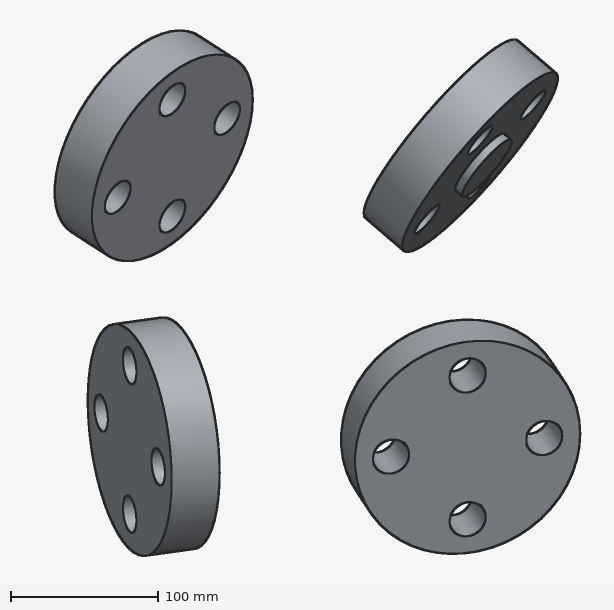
import cadquery as cq

flange_diameter = 158.75
overall_length = 41.275
face_diameter = 50.8
face_height = 6.35
flange_thickness = overall_length - face_height

bolt_hole_count = 4
bolt_hole_diameter = 25.4
bolt_circle_diameter = 107.95


def make_flange():
    """Plain disc from the X = 0 plane towards +X."""
    return cq.Workplane("YZ").circle(flange_diameter / 2).extrude(flange_thickness)


def make_raised_face():
    """Central disc standing out from the flange towards -X."""
    return cq.Workplane("YZ").circle(face_diameter / 2).extrude(-face_height)


def make_bolt_holes():
    """Cylinders through the flange, evenly spaced on the bolt circle."""
    return (
        cq.Workplane("YZ")
        .polarArray(bolt_circle_diameter / 2, 0, 360, bolt_hole_count)
        .circle(bolt_hole_diameter / 2)
        .extrude(flange_thickness)
    )


result = make_flange().union(make_raised_face()).cut(make_bolt_holes())